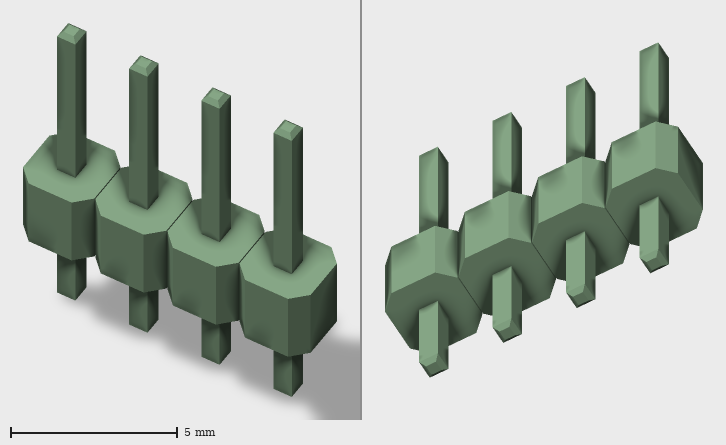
import cadquery as cq

POST_COUNT = 4
OVERALL_HEIGHT = 11.54
POST_PITCH = 2.54

BLOCK_WIDTH = 2.5
BLOCK_HEIGHT = 2.54
BLOCK_CORNER_CUT = 0.5

PIN_WIDTH = 0.65
PIN_LOWER_LENGTH = 3.0
PIN_TIP_CHAMFER = 0.15


def make_block():
    """Octagonal block standing on Z = 0, centred on the Z axis."""
    return (
        cq.Workplane("XY")
        .rect(BLOCK_WIDTH, BLOCK_WIDTH)
        .extrude(BLOCK_HEIGHT)
        .edges("|Z")
        .chamfer(BLOCK_CORNER_CUT)
    )


def make_pin():
    """Square pin along the Z axis with chamfered tips."""
    return (
        cq.Workplane("XY")
        .workplane(offset=-PIN_LOWER_LENGTH)
        .rect(PIN_WIDTH, PIN_WIDTH)
        .extrude(OVERALL_HEIGHT)
        .faces("<Z or >Z")
        .chamfer(PIN_TIP_CHAMFER)
    )


def make_post(x_center):
    """One block and its pin as a single solid, placed along the row."""
    return make_block().union(make_pin()).translate((x_center, 0, 0))


first_x = -POST_PITCH * (POST_COUNT - 1) / 2
posts = [make_post(first_x + index * POST_PITCH) for index in range(POST_COUNT)]

result = cq.Compound.makeCompound([post.solids().val() for post in posts])